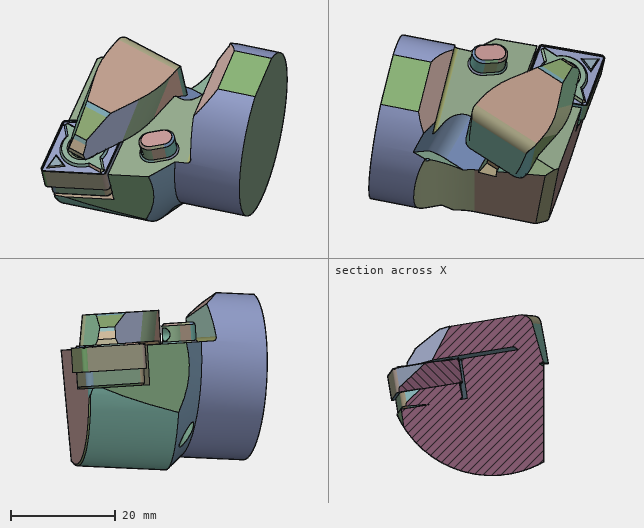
import cadquery as cq
import math


BIG = 76.0

length = 38.0
shank_radius = 16.0
shank_start = 25.05
shank_flat_height = 15.0
shank_bevel_start = 30.55
shank_bevel_reach = 4.55

head_radius = 20.0
head_centre_y = -2.0
head_centre_z = 1.03
head_rim_bevel = 0.3
head_side = 7.95
head_corner_bevel = (2.05, 1.67)
head_corner_level = -3.8
head_corner_x = 4.55
relief_radius = 10.45
relief_start = 19.0

corner_x, corner_y = -0.08, -22.08
rake = 6.1
inclination = 9.3
slope_x = math.tan(math.radians(rake))
slope_y = math.tan(math.radians(inclination))
seat_frame = cq.Plane(
    origin=(corner_x, corner_y, 0), xDir=(1, 0, slope_x), normal=(-slope_x, -slope_y, 1)
)

inscribed_circle = 12.7
corner_angle = 80.0
edge_angle = (90 - corner_angle) / 2
insert_side = inscribed_circle / math.sin(math.radians(corner_angle))
insert_thickness = 4.7
insert_corner_radius = 0.8
land_width = 0.15
land_depth = 0.15
insert_bore = 5.1
insert_bore_mouth = 6.5
mouth_depth = 0.45
plateau_top = 0.3
plateau_radius = 4.7
arm_root, arm_root_half = 4.18, 1.6
arm_tip, arm_tip_half = 7.22, 0.4
plateau_draft = 40.0
bump_top = 0.08
bump_apex, bump_base, bump_half = 1.52, 4.65, 1.75

shim_thickness = 3.2
shim_inset = 0.7
shim_back_inset = 0.38
shim_corner_radius = 1.1
shim_bevel = 0.4
pocket_gap = 0.38
seat_level = -insert_thickness - shim_thickness

head_top_level = -0.3
front_inset = 0.95
side_inset = 0.3
head_corner_radius = 1.33
shoulder_u = 28.45
shoulder_fillet = 0.75

clamp_angle = 67.2
clamp_top = 6.15
clamp_half_width = 7.2
clamp_offset = -0.1
clamp_nose_angle = 24.4
clamp_curve_radius = 18.62
clamp_curve_end = 19.3
clamp_slide_angle = 41.0
clamp_sweep = 30.4
clamp_rear = 23.52
clamp_top_rear = 23.0
clamp_foot_level = -3.6
clamp_rear_fillet = 2.05
clamp_rear_corner_radius = 2.28
clamp_nose_profile = [(5.93, clamp_top), (4.85, 5.78), (-0.38, 3.57), (-0.95, 2.77), (-2.3, 1.33), (-2.45, plateau_top)]

groove_edge = 19.45
groove_bottom = 26.22
groove_reach = 30.4
groove_wall = -11.5
groove_fillet = 3.2
guide_start = 22.05
guide_level = -6.85
guide_width = 3.2

nozzle_diameter = 4.4
nozzle_foot_diameter = 5.1
nozzle_height = 3.88
nozzle_bevel = 0.45
nozzle_x, nozzle_y = 21.6, 8.6
nozzle_angle = 21.5
nozzle_length = 2.5
nozzle_bore_diameter = 3.05
nozzle_bore_x = 21.8
jet_diameter = 2.5
jet_level = 1.5
jet_depth = 3.05

half_side = insert_side / 2
bore_x = half_side * (math.cos(math.radians(edge_angle)) + math.sin(math.radians(edge_angle)))


def in_seat(work):
    """Places a shape drawn in the seat frame."""
    return cq.Workplane(work.val().moved(cq.Location(seat_frame)))


def in_clamp(work):
    """Places a shape drawn in the frame of the clamp."""
    turned = work.val().moved(cq.Location((bore_x, bore_x, 0), (0, 0, 1), clamp_angle))
    return in_seat(cq.Workplane(turned))


def skew_point(front, side):
    """Seat point at the given distances inside the front and side edges of the insert."""
    angle = math.radians(edge_angle)
    along = math.sin(math.radians(corner_angle))
    a = front / along
    b = side / along
    return (
        a * math.cos(angle) + b * math.sin(angle),
        a * math.sin(angle) + b * math.cos(angle),
    )


def rhombus(front, side, back_front, back_side):
    """Outline parallel to the insert edges, from the cutting corner to the opposite one."""
    return [
        skew_point(front, side),
        skew_point(back_front, side),
        skew_point(back_front, back_side),
        skew_point(front, back_side),
    ]


def prism(points, bottom, top):
    return cq.Workplane("XY").workplane(offset=bottom).polyline(points).close().extrude(top - bottom)


def side_prism(profile, half_width, offset=0.0):
    """Profile in X and Z, as wide as twice half_width about Y = offset."""
    return cq.Workplane("XZ", origin=(0, offset, 0)).polyline(profile).close().extrude(half_width, both=True)


def head_bar():
    """Off-centre bar behind the slanted front face, bevelled all round the rim of that face."""
    bar = cq.Workplane("YZ", origin=(-head_radius, head_centre_y, head_centre_z)).circle(head_radius)
    bar = bar.extrude(head_radius + shank_start)
    front = in_seat(prism(rhombus(front_inset, -BIG, BIG, BIG), -BIG, BIG))
    return bar.intersect(front).faces("<X").chamfer(head_rim_bevel)


def turned_blank():
    """Shank with the off-centre bar, whose rear end is cut to a 45 degree cone."""
    cone_reach = shank_start + head_radius
    shank = (
        cq.Workplane("YZ", origin=(shank_start, 0, 0)).circle(shank_radius).extrude(length - shank_start)
    )
    cone = (
        cq.Workplane("XY")
        .polyline(
            [
                (shank_start - cone_reach, 0),
                (shank_start, 0),
                (shank_start, shank_radius),
                (shank_start - cone_reach, shank_radius + cone_reach),
            ]
        )
        .close()
        .revolve(360, (0, 0, 0), (1, 0, 0))
    )
    return head_bar().intersect(cone).union(shank)


def front_trim():
    """Block whose front and side faces become those of the head."""
    block = prism(rhombus(front_inset, side_inset, BIG, BIG), -BIG, BIG)
    corner = cq.selectors.NearestToPointSelector((*skew_point(front_inset, side_inset), 0))
    return in_seat(block.edges("|Z").edges(corner).fillet(head_corner_radius))


def back_relief():
    """Flat +Y side of the head, running out through the shank in an arc."""
    arc_end = relief_start + relief_radius
    diagonal = relief_radius * math.sqrt(0.5)
    return (
        cq.Workplane("XY", origin=(0, 0, -BIG))
        .moveTo(-BIG, head_side)
        .lineTo(relief_start, head_side)
        .threePointArc(
            (relief_start + diagonal, head_side + relief_radius - diagonal),
            (arc_end, head_side + relief_radius),
        )
        .lineTo(arc_end, BIG)
        .lineTo(-BIG, BIG)
        .close()
        .extrude(2 * BIG)
    )


def shank_top():
    """Everything above the flat of the shank and its 45 degree bevel."""
    return side_prism(
        [
            (shank_bevel_start - shank_bevel_reach, shank_flat_height - shank_bevel_reach),
            (shank_bevel_start, shank_flat_height),
            (BIG, shank_flat_height),
            (BIG, BIG),
            (shank_bevel_start - shank_bevel_reach, BIG),
        ],
        BIG,
    )


def head_top():
    """Everything above the top face of the head, up to the shoulder of the shank."""
    block = cq.Workplane("XY").box(BIG, 2 * BIG, BIG, centered=(False, True, False))
    block = block.translate((shoulder_u - BIG, 0, head_top_level))
    return in_seat(block.edges(">X and <Z").fillet(shoulder_fillet))


def clamp_groove():
    """Square valley behind the clamp, rounded where its floor meets the side wall."""
    depth = groove_bottom - groove_edge
    apex = (groove_bottom, head_top_level - depth)
    groove = side_prism(
        [
            apex,
            (apex[0] + groove_reach, apex[1] + groove_reach),
            (apex[0] - groove_reach, apex[1] + groove_reach),
        ],
        BIG / 2,
        groove_wall + BIG / 2,
    )
    floor_side = cq.selectors.NearestToPointSelector(
        (apex[0] - groove_reach / 2, groove_wall, apex[1] + groove_reach / 2)
    )
    return in_clamp(groove.edges(floor_side).fillet(groove_fillet))


def guide_slot():
    """Slot along the centre line of the clamp, cut back through the floor of the groove."""
    slot = cq.Workplane("XY").box(
        groove_bottom - guide_start, guide_width, -guide_level, centered=(False, True, False)
    )
    return in_clamp(slot.translate((guide_start, clamp_offset, guide_level)))


def insert_pocket():
    back = inscribed_circle + pocket_gap
    return in_seat(prism(rhombus(-BIG, -BIG, back, back), seat_level, plateau_top))


def shim():
    back = inscribed_circle - shim_back_inset
    block = prism(rhombus(shim_inset, shim_inset, back, back), seat_level, -insert_thickness)
    block = block.edges("|Z").fillet(shim_corner_radius)
    return in_seat(block.faces("<Z").chamfer(shim_bevel))


def clamp_plan():
    """Sides of the clamp: a pointed outline swept along the slanted sliding direction."""
    turn = math.radians(clamp_nose_angle)
    curve_centre = clamp_half_width - clamp_curve_radius

    def on_curve(angle):
        return (
            clamp_curve_end - clamp_curve_radius * math.sin(angle),
            curve_centre + clamp_curve_radius * math.cos(angle),
        )

    def mirrored(point):
        return (point[0], -point[1])

    curve_start = on_curve(turn)
    curve_middle = on_curve(turn / 2)
    nose_half = curve_start[1] - curve_start[0] * math.tan(turn)
    outline = (
        cq.Workplane("XY", origin=(0, 0, clamp_top))
        .moveTo(0, nose_half)
        .lineTo(*curve_start)
        .threePointArc(curve_middle, (clamp_curve_end, clamp_half_width))
        .lineTo(BIG, clamp_half_width)
        .lineTo(BIG, -clamp_half_width)
        .lineTo(clamp_curve_end, -clamp_half_width)
        .threePointArc(mirrored(curve_middle), mirrored(curve_start))
        .lineTo(0, -nose_half)
        .close()
    )
    face = cq.Face.makeFromWires(outline.val())
    slide = math.radians(clamp_slide_angle)
    down = cq.Vector(-clamp_sweep * math.cos(slide), 0, -clamp_sweep * math.sin(slide))
    return cq.Workplane(cq.Solid.extrudeLinear(face, down))


def clamp():
    """Clamp with a stepped nose over the insert and a foot on the slope of the groove."""
    foot_front = groove_edge + head_top_level - clamp_foot_level
    fillet_start = clamp_top_rear - clamp_rear_fillet
    fillet_low = clamp_top - clamp_rear_fillet
    diagonal = clamp_rear_fillet * math.sqrt(0.5)
    profile = (
        cq.Workplane("XZ")
        .polyline(clamp_nose_profile)
        .lineTo(groove_edge + head_top_level - plateau_top, plateau_top)
        .lineTo(foot_front, clamp_foot_level)
        .lineTo(clamp_rear, clamp_foot_level)
        .lineTo(clamp_top_rear, fillet_low)
        .threePointArc((fillet_start + diagonal, fillet_low + diagonal), (fillet_start, clamp_top))
        .close()
    )
    body = profile.extrude(clamp_half_width, both=True)
    rear_block = cq.Workplane("XY").box(BIG, 2 * clamp_half_width, BIG).translate((clamp_rear - BIG / 2, 0, 0))
    rear_block = rear_block.edges("|Z and >X").fillet(clamp_rear_corner_radius)
    body = body.intersect(rear_block).intersect(clamp_plan())
    return in_clamp(body.translate((0, clamp_offset, 0)))


def nozzle():
    """Oblong coolant nozzle on a flared foot, with a jet hole in its end."""

    def slot(diameter):
        plane = cq.Workplane("XY", origin=(nozzle_x, nozzle_y, head_top_level))
        return plane.transformed(rotate=(0, 0, nozzle_angle)).slot2D(nozzle_length + diameter, diameter)

    post = slot(nozzle_diameter).extrude(nozzle_height).faces(">Z").chamfer(nozzle_bevel)
    foot_height = (nozzle_foot_diameter - nozzle_diameter) / 2
    foot = slot(nozzle_foot_diameter).extrude(foot_height, taper=45)
    aim = math.radians(nozzle_angle)
    tip = (nozzle_length + nozzle_diameter) / 2
    mouth = (nozzle_x - tip * math.cos(aim), nozzle_y - tip * math.sin(aim), jet_level)
    jet = cq.Solid.makeCylinder(
        jet_diameter / 2, jet_depth, cq.Vector(*mouth), cq.Vector(math.cos(aim), math.sin(aim), 0)
    )
    return in_seat(post.union(foot).cut(cq.Workplane(jet)))


def nozzle_bore():
    """Bore below the nozzle, leaving the head through its rear cone."""
    bore = cq.Workplane("XY", origin=(nozzle_bore_x, nozzle_y, head_top_level))
    return in_seat(bore.circle(nozzle_bore_diameter / 2).extrude(-BIG))


def build_holder():
    head = turned_blank().intersect(front_trim())
    head = head.cut(back_relief())
    corner = cq.selectors.NearestToPointSelector((head_corner_x, head_side, head_corner_level))
    head = head.edges(corner).chamfer(*head_corner_bevel)
    head = head.cut(shank_top()).cut(head_top()).cut(clamp_groove()).cut(guide_slot())
    head = head.cut(nozzle_bore())
    return head.union(clamp()).cut(insert_pocket()).union(shim()).union(nozzle())


def build_insert():
    edge = inscribed_circle
    block = prism(rhombus(0, 0, edge, edge), -insert_thickness, 0)
    block = block.edges("|Z").fillet(insert_corner_radius)

    inner = rhombus(land_width, land_width, edge - land_width, edge - land_width)
    block = block.cut(cq.Workplane("XY").polyline(inner).close().extrude(-land_depth, taper=45))

    raised = cq.Workplane("XY", origin=(bore_x, bore_x, -land_depth))
    height = plateau_top + land_depth
    block = block.union(raised.circle(plateau_radius).extrude(height, taper=plateau_draft))
    for turn in (-45, 135):
        arm = (
            raised.transformed(rotate=(0, 0, turn))
            .polyline(
                [
                    (0, -arm_root_half),
                    (arm_root, -arm_root_half),
                    (arm_tip, -arm_tip_half),
                    (arm_tip, arm_tip_half),
                    (arm_root, arm_root_half),
                    (0, arm_root_half),
                ]
            )
            .close()
            .extrude(height, taper=plateau_draft)
        )
        block = block.union(arm)

    half_diagonal = bore_x * math.sqrt(2)
    for turn in (45, 225):
        bump = (
            raised.transformed(rotate=(0, 0, turn))
            .polyline(
                [
                    (half_diagonal - bump_apex, 0),
                    (half_diagonal - bump_base, bump_half),
                    (half_diagonal - bump_base, -bump_half),
                ]
            )
            .close()
            .extrude(bump_top + land_depth, taper=plateau_draft)
        )
        block = block.union(bump)

    bore = raised.circle(insert_bore / 2).extrude(BIG, both=True)
    mouth = cq.Solid.makeCone(
        insert_bore / 2,
        insert_bore_mouth / 2,
        mouth_depth,
        cq.Vector(bore_x, bore_x, plateau_top - mouth_depth),
    )
    return in_seat(block.cut(bore).cut(cq.Workplane(mouth)))


holder = build_holder()
insert = build_insert()
result = cq.Compound.makeCompound([holder.val(), insert.val()])